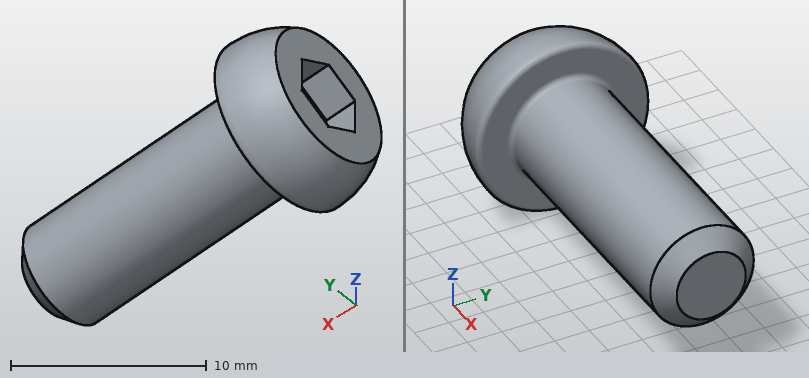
import cadquery as cq
import math


shank_diameter = 6.0
shank_length = 16.0
tip_chamfer = 1.0

head_diameter = 10.0
head_height = 3.5
rim_fillet = 0.3
rim_land = 0.2
neck_fillet = 0.3

socket_across_flats = 4.0
socket_depth = 2.0
socket_sides = 6

shank_radius = shank_diameter / 2
head_radius = head_diameter / 2
dome_start = -(rim_fillet + rim_land)

dome_rise = head_height + dome_start
head_face_radius = math.sqrt(head_radius**2 - dome_rise**2)


def dome_midpoint():
    """Point halfway along the dome arc, as (X, radius)."""
    half_angle = math.asin(dome_rise / head_radius) / 2
    x = dome_start - head_radius * math.sin(half_angle)
    radius = head_radius * math.cos(half_angle)
    return x, radius


def quarter_arc_midpoint(center, fillet_radius, x_sign, radial_sign):
    """Middle of a 90 degree fillet arc around its center."""
    offset = fillet_radius * math.sqrt(0.5)
    return center[0] + x_sign * offset, center[1] + radial_sign * offset


def make_body():
    """Revolve the half profile, drawn as (X, radius), about the X axis."""
    dome_end = (dome_start, head_radius)
    rim_end = (0, head_radius - rim_fillet)
    neck_end = (neck_fillet, shank_radius)
    rim_center = (-rim_fillet, head_radius - rim_fillet)
    neck_center = (neck_fillet, shank_radius + neck_fillet)
    profile = (
        cq.Workplane("XY")
        .moveTo(-head_height, 0)
        .lineTo(-head_height, head_face_radius)
        .threePointArc(dome_midpoint(), dome_end)
        .lineTo(-rim_fillet, head_radius)
        .threePointArc(quarter_arc_midpoint(rim_center, rim_fillet, 1, 1), rim_end)
        .lineTo(0, shank_radius + neck_fillet)
        .threePointArc(quarter_arc_midpoint(neck_center, neck_fillet, -1, -1), neck_end)
        .lineTo(shank_length - tip_chamfer, shank_radius)
        .lineTo(shank_length, shank_radius - tip_chamfer)
        .lineTo(shank_length, 0)
        .close()
    )
    return profile.revolve(360, (0, 0, 0), (1, 0, 0))


def make_socket():
    """Hexagonal prism sunk from the head face, with its flats facing +Y and -Y."""
    across_corners = socket_across_flats / math.cos(math.pi / socket_sides)
    return (
        cq.Workplane("YZ", origin=(-head_height, 0, 0))
        .transformed(rotate=(0, 0, 90))
        .polygon(socket_sides, across_corners)
        .extrude(socket_depth)
    )


result = make_body().cut(make_socket())